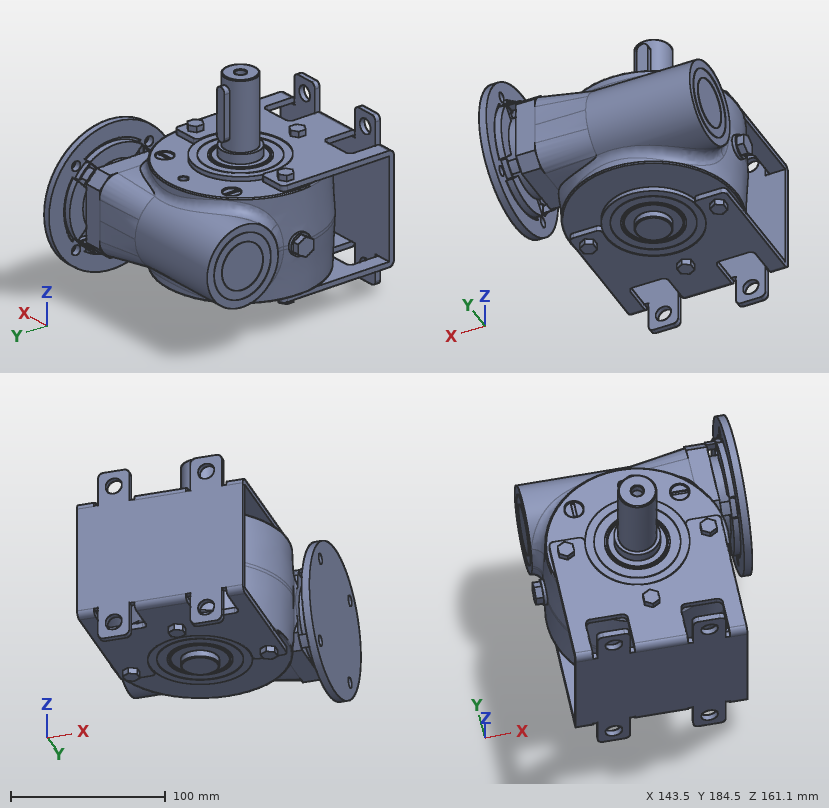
import cadquery as cq
import math

body_radius = 61.3
body_end_radius = 59.8
body_half_height = 37.8
parting_band_half = 1.2
body_edge_fillet = 1.0

cover_radius = 34.0
cover_height = 41.1
cover_recess_radius = 28.0
seal_outer_radius = 21.2
seal_groove_outer = 20.0
seal_groove_inner = 19.2
cover_groove_depth = 0.5

shaft_diameter = 25.0
shaft_top = 100.2
shaft_bottom = -46.1
shaft_chamfer = 0.7
collar_diameter = 30.0
collar_top = 48.2
centre_hole_diameter = 7.7
centre_sink_diameter = 8.9
centre_hole_depth = 9.2
key_width = 8.0
key_bottom = 54.6
key_top = 94.3
key_reach = 16.5

worm_offset = 50.0
tube_radius = 29.3
tube_left = -65.3
tube_round_end = 10.0
cap_outer_diameter = 46.9
cap_inner_diameter = 34.0
cap_groove_depth = 0.4
housing_half_width = 29.7
housing_chamfer = 8.7
housing_corner_radius = 14.8
housing_block_start = 46.3
housing_block_end = 60.0
housing_blend = 7.4
trim_start = 11.0

flange_radius = 52.5
flange_back = 70.1
flange_face = 75.5
flange_hole_diameter = 7.0
flange_hole_circle = 85.2
pad_radius = 38.5
pad_start = 66.2
pad_gap = 14.4
relief_outer_radius = 40.4
relief_depth = 1.1
core_radius = 27.7
lug_radius = 37.0
lug_inner = 22.9
lug_foot_radius = 38.0
lug_foot_inner = 22.0

plate_thickness = 4.0
bracket_half_width = 56.6
bracket_back = -82.0
bracket_front = 9.8
bracket_corner = 3.3
bend_radius = 4.5
window_inner = 17.5
window_outer = 45.2
window_front = -54.0
window_corner = 3.7
foot_centre = 31.5
foot_width = 21.4
foot_half_height = 60.9
foot_corner = 3.7
foot_hole_diameter = 11.0
foot_hole_height = 50.0

bolt_circle_radius = 47.0
bolt_flats = 10.0
bolt_head_top = 46.1
tapped_hole_diameter = 6.0
tapped_sink_diameter = 7.0
tapped_hole_depth = 7.4
screw_plug_position = 34.9
screw_plug_diameter = 13.0
screw_plug_depth = 0.7
screw_plug_bevel = 0.5
screw_slot_length = 10.3
screw_slot_width = 2.2
screw_slot_depth = 1.1
oil_plug_flats = 12.7
oil_plug_end = -68.0
oil_washer_diameter = 16.6
oil_washer_end = -63.1

bracket_half_height = body_half_height + plate_thickness
bracket_length = bracket_front - bracket_back


def disc_z(radius, start, end):
    """Cylinder about the output shaft axis."""
    return cq.Workplane("XY").workplane(offset=start).circle(radius).extrude(end - start)


def disc_x(radius, start, end, y=0):
    """Cylinder along X at the given Y, centred in height."""
    return cq.Workplane("YZ", origin=(start, y, 0)).circle(radius).extrude(end - start)


def hexagon(plane, flats, length):
    """Hexagonal prism on a plane, with two corners on the plane's second axis."""
    corner_diameter = flats / math.cos(math.radians(30))
    return plane.transformed(rotate=(0, 0, 90)).polygon(6, corner_diameter).extrude(length)


def countersunk_hole(x, y, z, diameter, sink_diameter, depth):
    """Blind drilled hole going down from height z, with 90 degree countersink and cone tip."""
    sink_radius = sink_diameter / 2
    radius = diameter / 2
    profile = [
        (0, 0),
        (sink_radius, 0),
        (radius, radius - sink_radius),
        (radius, radius - depth),
        (0, -depth),
    ]
    cutter = cq.Workplane("XZ").polyline(profile).close().revolve(360, (0, 0), (0, 1))
    return cutter.translate((x, y, z))


def screw_plug_cut(x, slot_angle):
    """Sunk round face of a screw plug with a screwdriver slot."""
    face = body_half_height - screw_plug_depth
    slot = cq.Workplane("XY").box(screw_slot_length, screw_slot_width, screw_slot_depth, (True, True, False))
    slot = slot.rotate((0, 0, 0), (0, 0, 1), slot_angle)
    slot = slot.translate((x, screw_plug_position, face - screw_slot_depth))
    sink = disc_z(screw_plug_diameter / 2, face, body_half_height).faces("<Z").chamfer(screw_plug_bevel)
    return sink.translate((x, screw_plug_position, 0)).union(slot)


def make_body():
    half_profile = [
        (0, -body_half_height),
        (body_end_radius, -body_half_height),
        (body_radius, -parting_band_half),
        (body_radius, parting_band_half),
        (body_end_radius, body_half_height),
        (0, body_half_height),
    ]
    body = cq.Workplane("XZ").polyline(half_profile).close().revolve(360, (0, 0), (0, 1))
    body = body.faces("<Z or >Z").edges().fillet(body_edge_fillet)
    body = body.cut(screw_plug_cut(-screw_plug_position, 90))
    body = body.cut(screw_plug_cut(screw_plug_position, 0))
    return body.cut(
        countersunk_hole(
            0,
            bolt_circle_radius,
            body_half_height,
            tapped_hole_diameter,
            tapped_sink_diameter,
            tapped_hole_depth,
        )
    )


def blend_worm_tube(body):
    """Join a round tube to the body, round the joint, then trim the tube at the motor end."""
    tube = disc_x(tube_radius, tube_left, -tube_left, worm_offset)
    joined = body.union(tube)
    joint_edges = [edge for edge in joined.edges().vals() if edge.geomType() == "BSPLINE"]
    joined = joined.newObject(joint_edges).fillet(housing_blend)
    trim_side = 2 * flange_radius
    trim = cq.Workplane("XY").box(trim_side, trim_side, trim_side, centered=(False, False, True))
    return joined.cut(trim.translate((housing_block_end, trim_start, 0)))


def chamfered_square(start, end):
    side = 2 * housing_half_width
    block = cq.Workplane("YZ", origin=(start, worm_offset, 0)).rect(side, side).extrude(end - start)
    return block.edges("|X").chamfer(housing_chamfer)


def make_transition():
    """Loft from the round tube to a square with well rounded corners, just behind the block."""
    length = housing_block_start - tube_round_end
    side = 2 * housing_half_width
    round_end = cq.Sketch().circle(tube_radius)
    square_end = cq.Sketch().rect(side, side).vertices().fillet(housing_corner_radius)
    square_end = square_end.moved(cq.Location(cq.Vector(0, 0, length)))
    start = cq.Workplane("YZ", origin=(tube_round_end, worm_offset, 0))
    return start.placeSketch(round_end, square_end).loft()


def make_housing():
    body = blend_worm_tube(make_body())
    body = body.union(make_transition())
    body = body.union(chamfered_square(housing_block_start, housing_block_end))
    cap_groove = disc_x(cap_outer_diameter / 2, tube_left, tube_left + cap_groove_depth, worm_offset)
    cap_centre = disc_x(cap_inner_diameter / 2, tube_left, tube_left + cap_groove_depth, worm_offset)
    return body.cut(cap_groove.cut(cap_centre))


def make_cover():
    """Upper bearing cover with a sunk face and a groove around the shaft seal."""
    cover = disc_z(cover_radius, 0, cover_height)
    sunk_face = cover_height - cover_groove_depth
    recess = disc_z(cover_recess_radius, sunk_face, cover_height)
    seal_lip = disc_z(seal_outer_radius, sunk_face, cover_height)
    seal_groove = disc_z(seal_groove_outer, sunk_face, cover_height)
    seal_groove = seal_groove.cut(disc_z(seal_groove_inner, sunk_face, cover_height))
    return cover.cut(recess).union(seal_lip.cut(seal_groove))


def make_shaft():
    shaft = disc_z(shaft_diameter / 2, shaft_bottom, shaft_top).faces("<Z or >Z").chamfer(shaft_chamfer)
    return shaft.union(disc_z(collar_diameter / 2, 0, collar_top))


def make_key():
    """Round-ended key on the +Y side of the shaft."""
    length = key_top - key_bottom
    middle = (key_top + key_bottom) / 2
    return (
        cq.Workplane("XZ", origin=(0, 0, middle))
        .slot2D(length, key_width, 90)
        .extrude(-key_reach)
    )


def cross_x(arm_width, start, end, angle):
    """Cross of two long bars centred on the worm axis, turned by an angle and extruded along X."""
    plane = cq.Workplane("YZ", origin=(start, worm_offset, 0))
    arm_length = 2 * flange_radius
    cross = plane.rect(arm_length, arm_width).extrude(end - start)
    cross = cross.union(plane.rect(arm_width, arm_length).extrude(end - start))
    return cross.rotate((0, worm_offset, 0), (1, worm_offset, 0), angle)


def corner_lugs(radius, inner, start, end):
    """Four lugs left in the corners of a round bar by two crossing slots."""
    return disc_x(radius, start, end, worm_offset).cut(cross_x(2 * inner, start, end, 0))


def make_flange():
    flange = disc_x(flange_radius, flange_back, flange_face, worm_offset)
    relief = disc_x(relief_outer_radius, flange_back, flange_back + relief_depth, worm_offset)
    relief = relief.cut(disc_x(pad_radius, flange_back, flange_back + relief_depth, worm_offset))
    gaps = cross_x(pad_gap, pad_start, flange_face, 45)
    pads = disc_x(pad_radius, pad_start, flange_back, worm_offset)
    flange = flange.cut(relief.cut(gaps)).union(pads.cut(gaps))
    flange = flange.union(disc_x(core_radius, housing_block_end, flange_back, worm_offset))
    flange = flange.union(corner_lugs(lug_radius, lug_inner, housing_block_end, flange_back))
    flange = flange.union(corner_lugs(lug_foot_radius, lug_foot_inner, pad_start, flange_back))
    holes = (
        cq.Workplane("YZ", origin=(flange_back, worm_offset, 0))
        .polarArray(flange_hole_circle / 2, 45, 360, 4)
        .circle(flange_hole_diameter / 2)
        .extrude(flange_face - flange_back)
    )
    return flange.cut(holes)


def make_bracket():
    middle_y = (bracket_front + bracket_back) / 2
    width = 2 * bracket_half_width
    channel = cq.Workplane("XY").box(width, bracket_length, 2 * bracket_half_height)
    channel = channel.translate((0, middle_y, 0))
    channel = channel.edges("<Y and |X").fillet(bend_radius)
    gap = cq.Workplane("XY").box(width, bracket_length, 2 * body_half_height)
    channel = channel.cut(gap.translate((0, middle_y + plate_thickness, 0)))
    channel = channel.cut(disc_z(cover_radius, -bracket_half_height, bracket_half_height))
    channel = channel.edges(">Y and |Z").fillet(bracket_corner)

    window_width = window_outer - window_inner
    window_length = window_front - bracket_back
    foot_height = 2 * foot_half_height
    plate_middle = bracket_back + plate_thickness / 2
    for side in (-1, 1):
        window_centre = side * (window_inner + window_outer) / 2
        for end in (-1, 1):
            window = cq.Workplane("XY").box(window_width, window_length, plate_thickness)
            window = window.edges(">Y and |Z").fillet(window_corner)
            height = end * (body_half_height + plate_thickness / 2)
            channel = channel.cut(window.translate((window_centre, window_front - window_length / 2, height)))
        foot = cq.Workplane("XY").box(foot_width, plate_thickness, foot_height)
        foot = foot.edges("|Y").fillet(foot_corner)
        channel = channel.union(foot.translate((side * foot_centre, plate_middle, 0)))

    holes = (
        cq.Workplane("XZ", origin=(0, bracket_back, 0))
        .rect(2 * foot_centre, 2 * foot_hole_height, forConstruction=True)
        .vertices()
        .circle(foot_hole_diameter / 2)
        .extrude(-plate_thickness)
    )
    return channel.cut(holes)


def make_bolt_heads():
    """Three bolt heads above and three below, each rooted in the body."""
    bolts = cq.Workplane("XY")
    for x, y in ((-bolt_circle_radius, 0), (bolt_circle_radius, 0), (0, -bolt_circle_radius)):
        plane = cq.Workplane("XY", origin=(x, y, -bolt_head_top))
        bolts = bolts.add(hexagon(plane, bolt_flats, 2 * bolt_head_top))
    return bolts.combine()


def make_oil_plug():
    head = hexagon(cq.Workplane("YZ", origin=(oil_plug_end, 0, 0)), oil_plug_flats, -oil_plug_end)
    return head.union(disc_x(oil_washer_diameter / 2, oil_washer_end, 0))


result = make_housing()
result = result.union(make_flange())
result = result.union(make_bracket())
upper_cover = make_cover()
result = result.union(upper_cover)
for part in (upper_cover.mirror("XY"), make_shaft(), make_key(), make_bolt_heads(), make_oil_plug()):
    result = result.union(part)
result = result.cut(
    countersunk_hole(0, 0, shaft_top, centre_hole_diameter, centre_sink_diameter, centre_hole_depth)
)